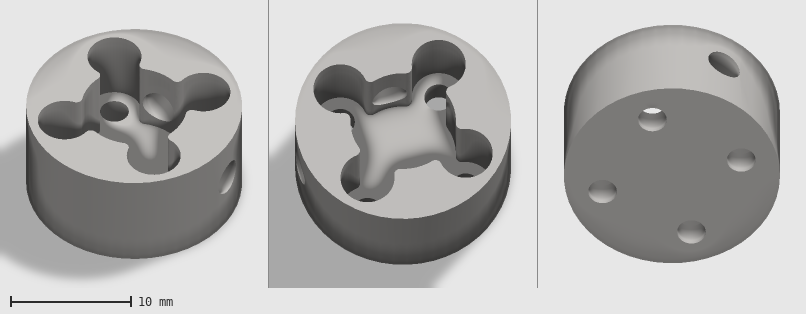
import cadquery as cq
import math

body_diameter = 18
body_height = 9

pocket_depth = 6.5
center_diameter = 8.8
lobe_diameter = 4.5
lobe_count = 4
lobe_circle_radius = body_diameter / 3
neck_fillet = 0.5

screw_hole_diameter = 2.4

radial_hole_diameter = 3.0
radial_hole_height = 5.0
radial_hole_angles = (45, 135)


def make_pocket():
    """Round center joined to four lobes, with the necks between them rounded."""
    center = cq.Workplane("XY").circle(center_diameter / 2).extrude(pocket_depth)
    lobes = (
        cq.Workplane("XY")
        .polarArray(lobe_circle_radius, 0, 360, lobe_count)
        .circle(lobe_diameter / 2)
        .extrude(pocket_depth)
    )
    corner_x = (
        lobe_circle_radius**2 + (center_diameter / 2) ** 2 - (lobe_diameter / 2) ** 2
    ) / (2 * lobe_circle_radius)
    corner_y = math.sqrt((center_diameter / 2) ** 2 - corner_x**2)
    corner_points = []
    for x_sign in (-1, 1):
        for y_sign in (-1, 1):
            corner_points.append((x_sign * corner_x, y_sign * corner_y))
            corner_points.append((x_sign * corner_y, y_sign * corner_x))
    pocket = center.union(lobes)
    for x, y in corner_points:
        corner_edge = cq.selectors.NearestToPointSelector((x, y, pocket_depth / 2))
        pocket = pocket.edges("|Z").edges(corner_edge).fillet(neck_fillet)
    return pocket.translate((0, 0, body_height - pocket_depth))


def make_screw_holes():
    """Through holes on the lobe axes."""
    return (
        cq.Workplane("XY")
        .polarArray(lobe_circle_radius, 0, 360, lobe_count)
        .circle(screw_hole_diameter / 2)
        .extrude(body_height)
    )


def make_radial_hole(angle):
    """Horizontal hole from the axis out through the wall at the given angle."""
    return (
        cq.Workplane("YZ")
        .center(0, radial_hole_height)
        .circle(radial_hole_diameter / 2)
        .extrude(body_diameter)
        .rotate((0, 0, 0), (0, 0, 1), angle)
    )


result = cq.Workplane("XY").circle(body_diameter / 2).extrude(body_height)
result = result.cut(make_pocket())
result = result.cut(make_screw_holes())
for hole_angle in radial_hole_angles:
    result = result.cut(make_radial_hole(hole_angle))